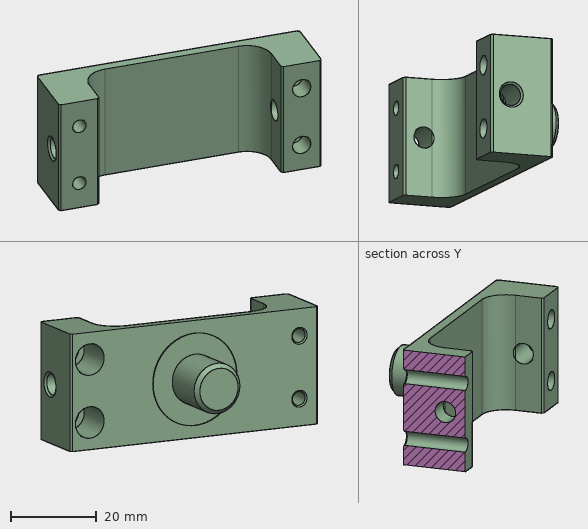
import cadquery as cq

body_depth = 15.5
body_length = 65.0
body_height = 28.0
web_thickness = 2.5
lug_thickness = 10.0
inner_radius = 6.0
edge_chamfer = 0.5

pad_diameter = 22.0
pad_height = 0.25
post_diameter = 12.0
post_length = 12.0
post_chamfer = 1.0

hole_end_distance = 5.0
hole_pitch_z = 15.0
screw_diameter = 4.5
counterbore_diameter = 7.5
counterbore_depth = 10.0
small_hole_diameter = 3.3
small_hole_mouth_diameter = 4.0

cross_hole_diameter = 5.0
cross_hole_mouth_diameter = 6.0
cross_hole_back_distance = 5.0

half_length = body_length / 2
hole_y = half_length - hole_end_distance
cross_hole_x = body_depth - cross_hole_back_distance


def make_body():
    """C-shaped profile in XY, centred on Y and Z, with its outer web face at X = 0."""
    body = cq.Workplane("XY").box(
        body_depth, body_length, body_height, centered=(False, True, True)
    )
    gap_depth = body_depth - web_thickness
    gap_length = body_length - 2 * lug_thickness
    gap = (
        cq.Workplane("XY")
        .box(gap_depth, gap_length, body_height, centered=(False, True, True))
        .edges("|Z and <X")
        .fillet(inner_radius)
        .translate((web_thickness, 0, 0))
    )
    body = body.cut(gap)
    outer_edges = body.edges("|Z and <X")
    back_edges = body.edges("|Z and >X")
    return body.newObject(outer_edges.vals() + back_edges.vals()).chamfer(edge_chamfer)


def make_post():
    """Low round pad carrying the chamfered post, pointing along -X."""
    pad = cq.Workplane("YZ").circle(pad_diameter / 2).extrude(-pad_height)
    post = (
        cq.Workplane("YZ")
        .circle(post_diameter / 2)
        .extrude(-(pad_height + post_length))
        .faces("<X")
        .chamfer(post_chamfer)
    )
    return pad.union(post)


def bore(diameter, depth, start, direction):
    """Cylindrical cutter from the start point along the direction."""
    return cq.Solid.makeCylinder(diameter / 2, depth, cq.Vector(*start), cq.Vector(*direction))


def countersink(mouth_diameter, hole_diameter, start, direction):
    """45 degree conical cutter that widens a hole to the mouth diameter at the start point."""
    mouth_radius = mouth_diameter / 2
    hole_radius = hole_diameter / 2
    depth = mouth_radius - hole_radius
    return cq.Solid.makeCone(
        mouth_radius, hole_radius, depth, cq.Vector(*start), cq.Vector(*direction)
    )


def cut_lug_holes(part):
    """Counterbored holes in the +Y lug and countersunk holes in the -Y lug."""
    inward = (1, 0, 0)
    for z in (-hole_pitch_z / 2, hole_pitch_z / 2):
        screw_start = (0, hole_y, z)
        part = part.cut(bore(screw_diameter, body_depth, screw_start, inward))
        part = part.cut(bore(counterbore_diameter, counterbore_depth, screw_start, inward))
        small_start = (0, -hole_y, z)
        part = part.cut(bore(small_hole_diameter, body_depth, small_start, inward))
        part = part.cut(
            countersink(small_hole_mouth_diameter, small_hole_diameter, small_start, inward)
        )
    return part


def cut_cross_hole(part):
    """Hole through both lugs, countersunk at each end of the body."""
    for side in (-1, 1):
        start = (cross_hole_x, side * half_length, 0)
        inward = (0, -side, 0)
        part = part.cut(bore(cross_hole_diameter, lug_thickness, start, inward))
        part = part.cut(
            countersink(cross_hole_mouth_diameter, cross_hole_diameter, start, inward)
        )
    return part


bracket = make_body().union(make_post())
bracket = cut_lug_holes(bracket)
result = cut_cross_hole(bracket)